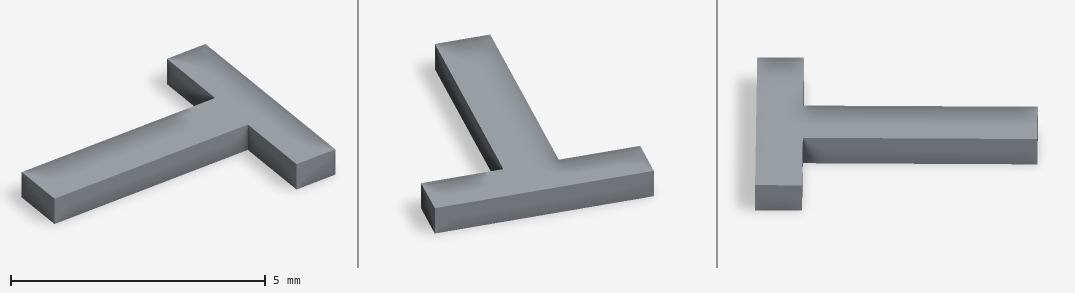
import cadquery as cq

width = 4.5
length = 5.53
thickness = 0.6

crossbar_depth = 0.922
stem_width = 1.137

stem_left = 1.673


def make_bar(size_x, size_y, start_x, start_y):
    """Rectangular bar resting on Z = 0 with its lower-left corner at the start point."""
    bar = cq.Workplane("XY").box(size_x, size_y, thickness, centered=False)
    return bar.translate((start_x, start_y, 0))


stem_length = length - crossbar_depth
stem = make_bar(stem_width, stem_length, stem_left, 0)
crossbar = make_bar(width, crossbar_depth, 0, stem_length)

result = crossbar.union(stem).clean()